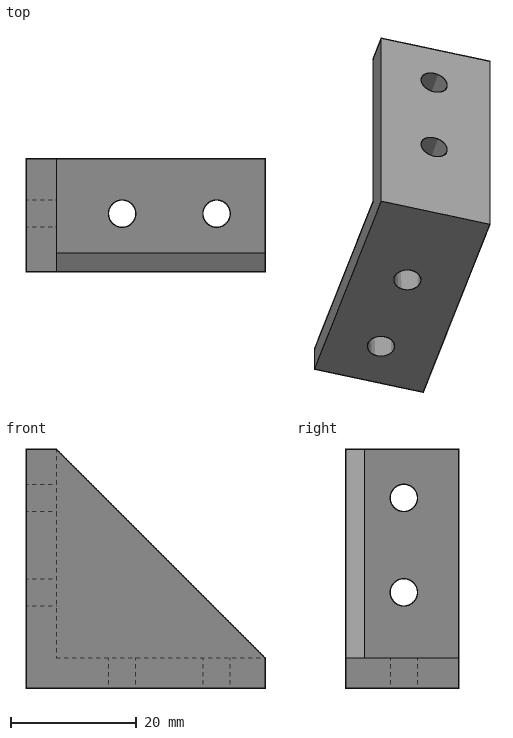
import cadquery as cq

leg_length = 38.0
width = 18.0

leg_thickness = 4.8
gusset_thickness = 3.0

hole_diameter = 4.3
first_hole_offset = 15.25
hole_pitch = 15.0
hole_y = 9.25


def gusset_outline():
    """Triangular side profile whose tips are cut square to the leg thickness."""
    return [
        (0, 0),
        (leg_length, 0),
        (leg_length, leg_thickness),
        (leg_thickness, leg_length),
        (0, leg_length),
    ]


def make_body():
    """Two perpendicular legs joined by a gusset along the -Y side."""
    floor = cq.Workplane("XY").box(leg_length, width, leg_thickness, centered=False)
    wall = cq.Workplane("XY").box(leg_thickness, width, leg_length, centered=False)
    gusset = cq.Workplane("XZ").polyline(gusset_outline()).close().extrude(-gusset_thickness)
    return floor.union(wall).union(gusset)


def make_holes():
    """Screw holes through both legs, at the same offsets from the corner."""
    offsets = [first_hole_offset, first_hole_offset + hole_pitch]
    floor_points = [(offset, hole_y) for offset in offsets]
    wall_points = [(hole_y, offset) for offset in offsets]
    radius = hole_diameter / 2
    floor_holes = cq.Workplane("XY").pushPoints(floor_points).circle(radius).extrude(leg_thickness)
    wall_holes = cq.Workplane("YZ").pushPoints(wall_points).circle(radius).extrude(leg_thickness)
    return floor_holes.union(wall_holes)


result = make_body().cut(make_holes())